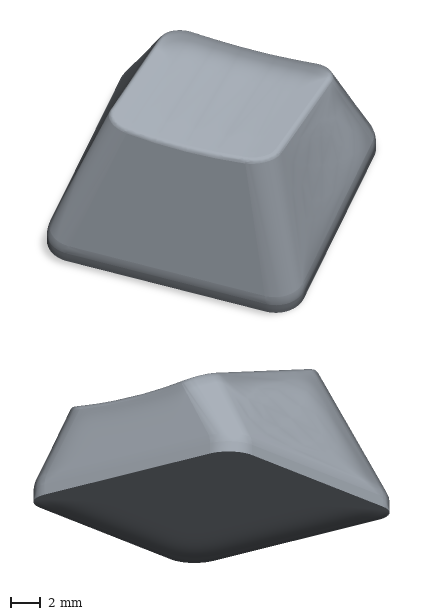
import cadquery as cq
import math

BASE_SIZE = 18.16
BASE_CORNER_RADIUS = 2
SKIRT_HEIGHT = 0.73

SHOULDER_TOP = 1.33
SHOULDER_STEPS = 4

FRONT_SLOPE = 25
BACK_SLOPE = 4.5

TOP_TILT = 16
DISH_RADIUS = 39.95
DISH_CENTRE_HEIGHT = 8.06
DISH_LENGTH = 54.48
RIM_RADIUS = 0.36

TOP_WIDTH = 11.9
TOP_CORNER_RADIUS = 1.9
DISH_ALLOWANCE = 0.55

SLOPE_START = (SKIRT_HEIGHT + SHOULDER_TOP) / 2
BLANK_HEIGHT = DISH_CENTRE_HEIGHT + DISH_ALLOWANCE
SLOPE_RISE = BLANK_HEIGHT - SLOPE_START

tilt_tangent = math.tan(math.radians(TOP_TILT))
front_tangent = math.tan(math.radians(FRONT_SLOPE))
back_tangent = math.tan(math.radians(BACK_SLOPE))
side_tangent = (BASE_SIZE - TOP_WIDTH) / 2 / SLOPE_RISE


def rounded_rectangle(width, depth, radius):
    return cq.Sketch().rect(width, depth).vertices().fillet(radius)


def shoulder_section(height):
    """Horizontal outline at a height in the shoulder, whose walls are parabolic."""
    rise = (height - SKIRT_HEIGHT) ** 2 / (2 * (SHOULDER_TOP - SKIRT_HEIGHT))
    width = BASE_SIZE - 2 * rise * side_tangent
    depth = BASE_SIZE - rise * (front_tangent + back_tangent)
    shift = rise * (front_tangent - back_tangent) / 2
    outline = rounded_rectangle(width, depth, BASE_CORNER_RADIUS)
    return outline.moved(cq.Location(cq.Vector(0, shift, height)))


def top_section():
    """Outline where the walls meet a tilted plane just above the dish."""
    half_base = BASE_SIZE / 2
    front_y = -(half_base - front_tangent * SLOPE_RISE) / (1 + front_tangent * tilt_tangent)
    back_y = (half_base - back_tangent * SLOPE_RISE) / (1 - back_tangent * tilt_tangent)
    centre_y = (front_y + back_y) / 2
    centre_z = BLANK_HEIGHT - centre_y * tilt_tangent
    depth = (back_y - front_y) / math.cos(math.radians(TOP_TILT))
    outline = rounded_rectangle(TOP_WIDTH, depth, TOP_CORNER_RADIUS)
    return outline.moved(cq.Location(cq.Vector(0, centre_y, centre_z), cq.Vector(1, 0, 0), -TOP_TILT))


def make_skirt():
    outline = rounded_rectangle(BASE_SIZE, BASE_SIZE, BASE_CORNER_RADIUS)
    return cq.Workplane("XY").placeSketch(outline).extrude(SKIRT_HEIGHT)


def make_shoulder():
    """Smooth loft through sections of the curved part of the walls."""
    step = (SHOULDER_TOP - SKIRT_HEIGHT) / SHOULDER_STEPS
    heights = [SKIRT_HEIGHT + i * step for i in range(SHOULDER_STEPS + 1)]
    sections = [shoulder_section(height) for height in heights]
    return cq.Workplane("XY").placeSketch(*sections).loft()


def make_dish_cutter():
    """Cylinder lying above the key, tangent to the tilted top along x = 0."""
    return (
        cq.Workplane("XZ")
        .center(0, DISH_RADIUS)
        .circle(DISH_RADIUS)
        .extrude(DISH_LENGTH / 2, both=True)
        .rotate((0, 0, 0), (1, 0, 0), -TOP_TILT)
        .translate((0, 0, DISH_CENTRE_HEIGHT))
    )


def make_body():
    """Ruled body from the shoulder to the tilted top, dished and with a rounded rim."""
    body = cq.Workplane("XY").placeSketch(shoulder_section(SHOULDER_TOP), top_section()).loft(ruled=True)
    body = body.cut(make_dish_cutter())
    return body.faces(">Z").edges().fillet(RIM_RADIUS)


result = make_skirt().union(make_shoulder()).union(make_body())